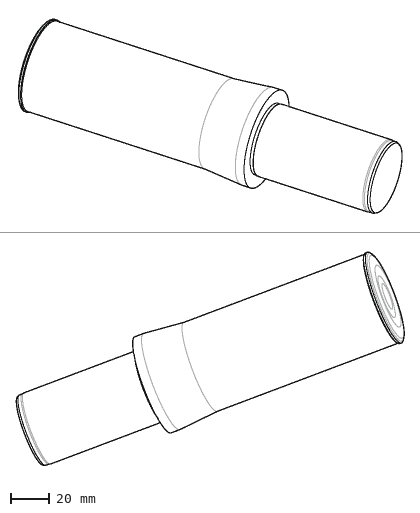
import cadquery as cq

total_length = 204.0
cutting_length = 3.5
taper_start = 106.9
flange_start = 129.1
flange_end = 134.2

body_radius = 50.0 / 2
flange_radius = 54.0 / 2
shank_radius = 40.0 / 2
relief_radius = 39.5 / 2

neck_length = 1.8
end_relief_start = total_length - 3.9
end_relief_run = 0.8
end_chamfer_length = 1.2
end_chamfer_depth = 0.6

rim_radius = 25.5
rim_start = 2.0
rim_end = 3.0
nose_end_radius = 24.7
nose_end_x = 1.5
nose_radius = 2.5
outer_slope_radius = 23.3
outer_slope_x = 0.8
outer_crest_radius = 17.3
valley_radius = 11.6
inner_crest_radius = 7.1
valley_depth = 0.8
inner_crest_depth = 0.5
center_depth = 1.5


def revolve_about_x(profile):
    """Revolve a closed (x, radius) outline a full turn about the X axis."""
    return profile.close().revolve(360, (0, 0, 0), (1, 0, 0))


def make_holder():
    """Body with a tapered collar and a relieved, chamfered shank."""
    profile = (
        cq.Workplane("XY")
        .moveTo(cutting_length, 0)
        .lineTo(cutting_length, body_radius)
        .lineTo(taper_start, body_radius)
        .lineTo(flange_start, flange_radius)
        .lineTo(flange_end, flange_radius)
        .lineTo(flange_end, relief_radius)
        .lineTo(flange_end + neck_length, relief_radius)
        .lineTo(flange_end + neck_length, shank_radius)
        .lineTo(end_relief_start, shank_radius)
        .lineTo(end_relief_start + end_relief_run, relief_radius)
        .lineTo(total_length - end_chamfer_length, relief_radius)
        .lineTo(total_length, relief_radius - end_chamfer_depth)
        .lineTo(total_length, 0)
    )
    return revolve_about_x(profile)


def make_cutting_head():
    """Disc with a slightly proud rounded rim and concentric conical ripples on its face."""
    profile = (
        cq.Workplane("XY")
        .moveTo(center_depth, 0)
        .lineTo(inner_crest_depth, inner_crest_radius)
        .lineTo(valley_depth, valley_radius)
        .lineTo(0, outer_crest_radius)
        .lineTo(outer_slope_x, outer_slope_radius)
        .radiusArc((nose_end_x, nose_end_radius), nose_radius)
        .lineTo(rim_start, rim_radius)
        .lineTo(rim_end, rim_radius)
        .lineTo(cutting_length, body_radius)
        .lineTo(cutting_length, 0)
    )
    return revolve_about_x(profile)


holder = make_holder()
cutting_head = make_cutting_head()
result = cq.Compound.makeCompound([holder.val(), cutting_head.val()])